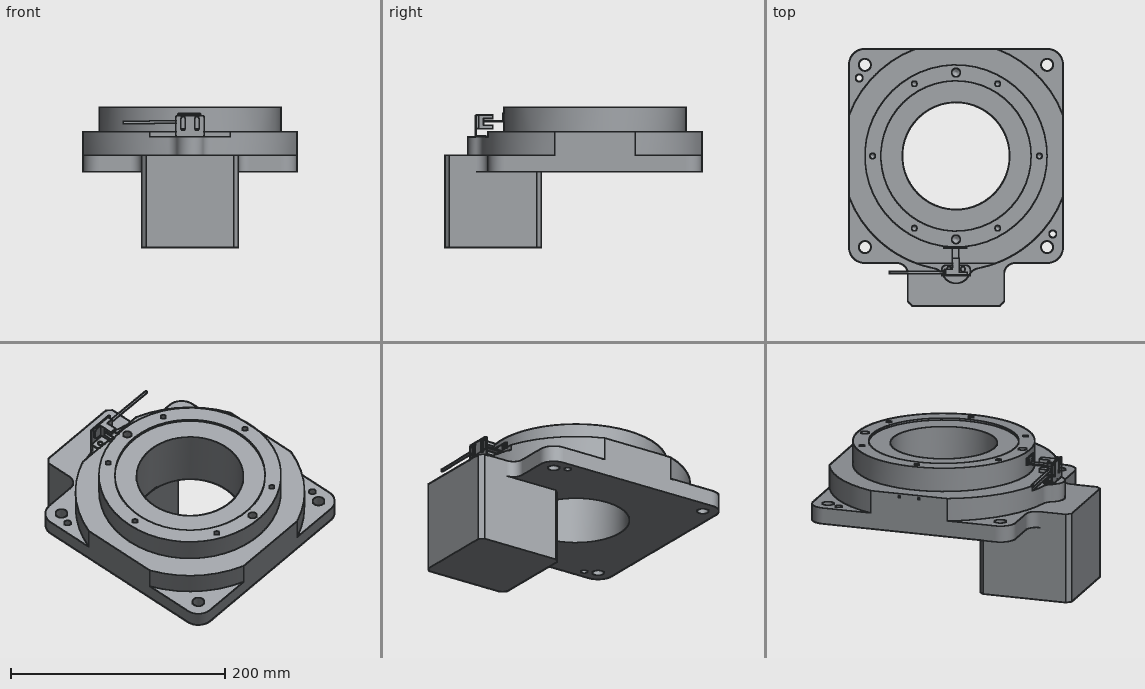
import cadquery as cq
import math


overall_depth = 240.0

plate_side = 200.0
plate_thickness = 15.5
plate_corner_radius = 15.0
half_plate = plate_side / 2
mount_hole_offset = 85.0
mount_hole_diameter = 11.0
dowel_hole_x = 90.2
dowel_hole_y = 72.7
dowel_hole_diameter = 6.5

motor_side = 90.0
motor_height = 86.5
motor_chamfer = 4.3
motor_overhang = overall_depth - plate_side
motor_front_y = -half_plate - motor_overhang
motor_center_y = motor_front_y + motor_side / 2
motor_blend_radius = 10.0

housing_height = 21.8
housing_radius = 106.8
housing_top_z = plate_thickness + housing_height
nose_radius = 13.5
nose_tip_y = -118.8
nose_blend_radius = 12.2
ledge_depth = 4.8
ledge_z = housing_top_z - ledge_depth
side_hole_diameter = 2.0
side_hole_depth = 4.8
side_hole_y = 9.5
side_hole_drop = 3.0

table_height = 22.8
table_radius = 85.0
table_top_z = housing_top_z + table_height
recess_radius = 70.0
recess_depth = 2.0
bore_radius = 50.0
table_hole_circle_radius = 77.8
screw_hole_diameter = 5.0
pin_hole_diameter = 8.0
table_hole_depth = 12.0
drill_tip_angle = 118
screw_hole_angles = range(0, 360, 60)
pin_hole_angles = (90, 270)

bracket_sheet = 1.0
bracket_width = 26.5
bracket_front_y = -111.5
bracket_back_y = bracket_front_y + bracket_sheet
bracket_height = 19.7
bracket_corner_radius = 1.5
foot_depth = 9.5
foot_corner_radius = 3.8
slot_x = 6.5
slot_width = 3.8
wall_slot_length = 13.0
wall_slot_margin = 0.7
foot_slot_length = 4.8
foot_slot_setback = 6.0
foot_slot_y = bracket_front_y + foot_slot_setback

sensor_height = 13.0
sensor_z = table_top_z - 13.7
sensor_left_x = -10.5
sensor_right_x = 10.3
left_base_chamfer = 1.0
right_base_fillet = 2.2
left_base_depth = 5.0
right_base_depth = 2.5
prong_left_x = -3.4
prong_right_x = 3.0
prong_length = 15.4
prong_thickness = 3.4
slot_bottom_depth = 6.7
boss_length = 1.2
boss_depth = 3.8
boss_height = 5.8
cable_diameter = 2.5
cable_end_x = -62.2
cable_y = bracket_back_y + 2.0
cable_drop = 0.7

flag_sheet = 1.2
flag_center_x = -0.7
tab_width = 21.0
tab_height = 6.2
tab_corner_radius = 1.2
flag_height = 8.0
flag_top_z = table_top_z - 5.8
flag_slot_x = 6.2
flag_slot_length = 5.3
flag_slot_width = 3.0
blade_left_x = -3.4
blade_right_x = 2.5
blade_tip_y = -103.0


def block(x_min, x_max, y_min, y_max, z_min, z_max):
    """Box between two opposite corners."""
    size = (x_max - x_min, y_max - y_min, z_max - z_min)
    return cq.Workplane("XY").box(*size, centered=False).translate((x_min, y_min, z_min))


def mounting_plate():
    plate = cq.Workplane("XY").rect(plate_side, plate_side).extrude(plate_thickness)
    return plate.edges("|Z").fillet(plate_corner_radius)


def motor():
    """Motor block whose top is flush with the top of the mounting plate."""
    body = (
        cq.Workplane("XY", origin=(0, motor_center_y, plate_thickness))
        .rect(motor_side, motor_side)
        .extrude(-motor_height)
    )
    return body.edges("|Z").chamfer(motor_chamfer)


def motor_blends():
    """Concave corner fillers between the plate front and both motor sides."""
    blends = cq.Workplane("XY")
    for side in (-1, 1):
        corner_x = side * motor_side / 2
        outer_x = corner_x + side * motor_blend_radius
        front_y = -half_plate - motor_blend_radius
        filler = (
            cq.Workplane("XY")
            .moveTo(corner_x, -half_plate)
            .lineTo(outer_x, -half_plate)
            .radiusArc((corner_x, front_y), -side * motor_blend_radius)
            .close()
            .extrude(plate_thickness)
        )
        blends = blends.add(filler)
    return blends


def gear_housing():
    """Round housing trimmed flush with three plate sides, with a blended nose at the front."""
    base = cq.Workplane("XY", origin=(0, 0, plate_thickness))
    disc = base.circle(housing_radius).extrude(housing_height)
    trim = block(-half_plate, half_plate, -housing_radius, half_plate, plate_thickness, housing_top_z)
    nose_center_y = nose_tip_y + nose_radius
    nose = base.center(0, nose_center_y).circle(nose_radius).extrude(housing_height)
    blend_zone = cq.selectors.BoxSelector(
        (-2 * nose_radius, nose_tip_y, 0), (2 * nose_radius, -half_plate, table_top_z)
    )
    housing = disc.intersect(trim).union(nose)
    housing = housing.edges("|Z").edges(blend_zone).fillet(nose_blend_radius)
    ledge = block(-half_plate, half_plate, nose_tip_y, -half_plate, ledge_z, housing_top_z)
    return housing.cut(ledge)


def table():
    ring = cq.Workplane("XY", origin=(0, 0, housing_top_z)).circle(table_radius).extrude(table_height)
    recess = (
        cq.Workplane("XY", origin=(0, 0, table_top_z)).circle(recess_radius).extrude(-recess_depth)
    )
    return ring.cut(recess)


def drilled_hole(diameter, angle):
    """Blind hole with a conical drill tip, on the table hole circle."""
    radius = diameter / 2
    tip_depth = radius / math.tan(math.radians(drill_tip_angle / 2))
    hole = (
        cq.Workplane("XZ")
        .polyline([(0, 0), (radius, 0), (radius, -table_hole_depth), (0, -table_hole_depth - tip_depth)])
        .close()
        .revolve(360, (0, 0), (0, 1))
    )
    hole = hole.translate((table_hole_circle_radius, 0, table_top_z))
    return hole.rotate((0, 0, 0), (0, 0, 1), angle)


def plate_holes():
    offsets = (-mount_hole_offset, mount_hole_offset)
    mount_points = [(x, y) for x in offsets for y in offsets]
    dowel_points = [(-dowel_hole_x, dowel_hole_y), (dowel_hole_x, -dowel_hole_y)]
    plane = cq.Workplane("XY")
    mounts = plane.pushPoints(mount_points).circle(mount_hole_diameter / 2).extrude(plate_thickness)
    dowels = plane.pushPoints(dowel_points).circle(dowel_hole_diameter / 2).extrude(plate_thickness)
    return mounts.add(dowels)


def side_holes():
    """Two small blind holes in the -X flat of the housing."""
    return (
        cq.Workplane("YZ", origin=(-half_plate, 0, housing_top_z - side_hole_drop))
        .pushPoints([(-side_hole_y, 0), (side_hole_y, 0)])
        .circle(side_hole_diameter / 2)
        .extrude(side_hole_depth)
    )


def make_drive_unit():
    unit = mounting_plate().union(motor()).union(gear_housing()).union(table())
    for blend in motor_blends().vals():
        unit = unit.union(cq.Workplane(blend))
    bore = cq.Workplane("XY").circle(bore_radius).extrude(table_top_z)
    unit = unit.cut(bore)
    for cutter in plate_holes().vals() + side_holes().vals():
        unit = unit.cut(cq.Workplane(cutter))
    for angle in screw_hole_angles:
        unit = unit.cut(drilled_hole(screw_hole_diameter, angle))
    for angle in pin_hole_angles:
        unit = unit.cut(drilled_hole(pin_hole_diameter, angle))
    return unit


def make_bracket():
    """Bent sheet: a foot on the housing ledge and an upright wall along its front edge."""
    half_width = bracket_width / 2
    top_z = ledge_z + bracket_height
    foot_back_y = bracket_front_y + foot_depth
    foot = block(-half_width, half_width, bracket_front_y, foot_back_y, ledge_z, ledge_z + bracket_sheet)
    foot = foot.edges("|Z and >Y").fillet(foot_corner_radius)
    wall = block(-half_width, half_width, bracket_front_y, bracket_back_y, ledge_z, top_z)
    wall = wall.edges("|Y and >Z").fillet(bracket_corner_radius)

    slot_points = [(-slot_x, 0), (slot_x, 0)]
    wall_slot_z = top_z - wall_slot_margin - wall_slot_length / 2
    wall_slots = (
        cq.Workplane("XZ", origin=(0, bracket_back_y, wall_slot_z))
        .pushPoints(slot_points)
        .slot2D(wall_slot_length, slot_width, 90)
        .extrude(bracket_sheet)
    )
    foot_slots = (
        cq.Workplane("XY", origin=(0, foot_slot_y, ledge_z))
        .pushPoints(slot_points)
        .slot2D(foot_slot_length, slot_width, 90)
        .extrude(bracket_sheet)
    )
    return foot.union(wall).cut(wall_slots).cut(foot_slots)


def make_sensor():
    """Slotted sensor: a base on the bracket wall, two prongs, and a cable out of its -X end."""
    bottom_z = sensor_z - sensor_height / 2
    top_z = sensor_z + sensor_height / 2
    back_y = bracket_back_y

    left_base = block(sensor_left_x, prong_right_x, back_y, back_y + left_base_depth, bottom_z, top_z)
    left_base = left_base.edges("|Y and <X").chamfer(left_base_chamfer)
    right_base = block(prong_right_x, sensor_right_x, back_y, back_y + right_base_depth, bottom_z, top_z)
    right_base = right_base.edges("|Y and >X").fillet(right_base_fillet)
    head = block(prong_left_x, prong_right_x, back_y, back_y + prong_length, bottom_z, top_z)
    light_slot = block(
        prong_left_x, prong_right_x,
        back_y + slot_bottom_depth, back_y + prong_length,
        bottom_z + prong_thickness, top_z - prong_thickness,
    )
    boss = block(
        sensor_left_x - boss_length, sensor_left_x,
        back_y, back_y + boss_depth,
        sensor_z - boss_height / 2, sensor_z + boss_height / 2,
    )

    run = cq.Vector(cable_end_x - sensor_left_x, 0, -cable_drop)
    cable = cq.Workplane(cq.Solid.makeCylinder(
        cable_diameter / 2, run.Length, cq.Vector(sensor_left_x, cable_y, sensor_z), run
    ))
    return left_base.union(right_base).union(head.cut(light_slot)).union(boss).union(cable)


def make_flag():
    """Bent sheet: an upright tab touching the table rim, a neck, and a blade reaching into the sensor."""
    rim_y = -table_radius
    front_y = rim_y - flag_sheet
    bottom_z = flag_top_z - flag_height
    tab_bottom_z = flag_top_z - tab_height
    tab_left_x = flag_center_x - tab_width / 2
    tab = block(tab_left_x, tab_left_x + tab_width, front_y, rim_y, tab_bottom_z, flag_top_z)
    tab = tab.edges("|Y").fillet(tab_corner_radius)
    slots = (
        cq.Workplane("XZ", origin=(flag_center_x, rim_y, flag_top_z - tab_height / 2))
        .pushPoints([(-flag_slot_x, 0), (flag_slot_x, 0)])
        .slot2D(flag_slot_length, flag_slot_width)
        .extrude(flag_sheet)
    )
    neck = block(blade_left_x, blade_right_x, front_y, rim_y, bottom_z, tab_bottom_z)
    blade = block(blade_left_x, blade_right_x, blade_tip_y, rim_y, bottom_z, bottom_z + flag_sheet)
    return tab.cut(slots).union(neck).union(blade)


drive_unit = make_drive_unit()
bracket = make_bracket()
sensor = make_sensor()
flag = make_flag()

bodies = [drive_unit, bracket, sensor, flag]
result = cq.Compound.makeCompound([body.solids().val() for body in bodies])